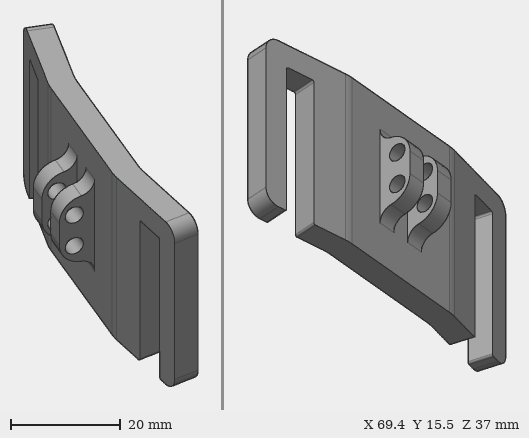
import cadquery as cq
import math

length = 69.4
height = 37.0
thickness = 5.2
bend_angle = math.radians(10)
bend_x = 14.9
bend_radius = 9.6
corner_radius = 3.0

slot_inner_x = 23.3
slot_outer_x = 29.8
slot_top_margin = 5.0
slot_corner_radius = 0.4

lug_inner_x = 2.0
lug_width = 3.95
lug_reach = 7.0
lug_center_z = 1.0
lug_tip_half = 2.5
lug_nose_radius = 5.0
lug_root_radius = 3.0
hole_diameter = 3.6
hole_spacing = 7.0
hole_reach = 4.0

half_length = length / 2
half_height = height / 2
wing_depth = thickness * math.cos(bend_angle)


def wing_point(front_x, depth):
    """XY point at a depth behind the right wing's front face, square to that face."""
    front_y = (front_x - bend_x) * math.tan(bend_angle)
    return (
        front_x - depth * math.sin(bend_angle),
        front_y + depth * math.cos(bend_angle),
    )


def mirrored(point):
    return (-point[0], point[1])


def make_plate():
    bend_start_x = bend_x - bend_radius * math.tan(bend_angle / 2)

    def bend_point(angle, offset_y):
        return (
            bend_start_x + bend_radius * math.sin(angle),
            offset_y + bend_radius * (1 - math.cos(angle)),
        )

    bend_angles = (0, bend_angle / 2, bend_angle)
    front_start, front_mid, front_end = [bend_point(a, 0) for a in bend_angles]
    back_start, back_mid, back_end = [bend_point(a, thickness) for a in bend_angles]
    tip_front = wing_point(half_length, 0)
    tip_back = wing_point(half_length, wing_depth)
    plate = (
        cq.Workplane("XY", origin=(0, 0, -half_height))
        .moveTo(*mirrored(front_start))
        .lineTo(*front_start)
        .threePointArc(front_mid, front_end)
        .lineTo(*tip_front)
        .lineTo(*tip_back)
        .lineTo(*back_end)
        .threePointArc(back_mid, back_start)
        .lineTo(*mirrored(back_start))
        .threePointArc(mirrored(back_mid), mirrored(back_end))
        .lineTo(*mirrored(tip_back))
        .lineTo(*mirrored(tip_front))
        .lineTo(*mirrored(front_end))
        .threePointArc(mirrored(front_mid), mirrored(front_start))
        .close()
        .extrude(height)
    )
    return plate.faces("<X or >X").edges("<Z or >Z").fillet(corner_radius)


def make_slot_cutter():
    """Cutter for the right slot, square to the wing and running out through the bottom."""
    overcut = 0.7
    slot_height = height - slot_top_margin + overcut
    return (
        cq.Workplane("XY", origin=(0, 0, -half_height - overcut))
        .polyline([
            wing_point(slot_inner_x, -overcut),
            wing_point(slot_outer_x, -overcut),
            wing_point(slot_outer_x, wing_depth + overcut),
            wing_point(slot_inner_x, wing_depth + overcut),
        ])
        .close()
        .extrude(slot_height)
    )


def through_edges(direction_x):
    """Selector for edges running square through a wing; direction_x is -1 right, 1 left."""
    return cq.selectors.ParallelDirSelector(
        cq.Vector(direction_x * math.sin(bend_angle), math.cos(bend_angle), 0)
    )


def cut_slots(plate):
    """Cut both slots and round their top corners and the corners at their open ends."""
    slot = make_slot_cutter()
    slot = slot.faces(">Z").edges(through_edges(-1)).fillet(slot_corner_radius)
    plate = plate.cut(slot).cut(slot.mirror("YZ"))
    for side in (-1, 1):
        mouth = cq.selectors.BoxSelector(
            (-side * bend_x, -thickness, -half_height - slot_corner_radius),
            (-side * (half_length - corner_radius), 2 * thickness, -half_height + slot_corner_radius),
        )
        plate = plate.edges(through_edges(side)).edges(mouth).fillet(slot_corner_radius)
    return plate


def make_lug(start_x):
    """Lug with a rounded nose that flares into the plate through tangent root arcs."""
    nose_y = lug_reach - lug_nose_radius
    center_distance = lug_nose_radius + lug_root_radius
    lean = math.asin((lug_root_radius - nose_y) / center_distance)
    root_z = lug_tip_half + center_distance * math.cos(lean)

    def nose_point(angle):
        return (
            -nose_y - lug_nose_radius * math.sin(angle),
            lug_tip_half + lug_nose_radius * math.cos(angle),
        )

    def root_point(angle):
        return (
            -lug_root_radius + lug_root_radius * math.sin(angle),
            root_z - lug_root_radius * math.cos(angle),
        )

    def lower(point):
        return (point[0], -point[1])

    root = root_point(math.pi / 2)
    root_mid = root_point((math.pi / 2 + lean) / 2)
    joint = nose_point(lean)
    nose_mid = nose_point((math.pi / 2 + lean) / 2)
    tip = nose_point(math.pi / 2)
    embed = thickness / 2
    return (
        cq.Workplane("YZ", origin=(start_x, 0, lug_center_z))
        .moveTo(embed, root_z)
        .lineTo(*root)
        .threePointArc(root_mid, joint)
        .threePointArc(nose_mid, tip)
        .lineTo(*lower(tip))
        .threePointArc(lower(nose_mid), lower(joint))
        .threePointArc(lower(root_mid), lower(root))
        .lineTo(embed, -root_z)
        .close()
        .extrude(lug_width)
    )


def make_pin_holes():
    return (
        cq.Workplane("YZ", origin=(0, 0, lug_center_z))
        .pushPoints([(-hole_reach, -hole_spacing / 2), (-hole_reach, hole_spacing / 2)])
        .circle(hole_diameter / 2)
        .extrude(half_length, both=True)
    )


result = cut_slots(make_plate())
for lug_start_x in (lug_inner_x, -lug_inner_x - lug_width):
    result = result.union(make_lug(lug_start_x))
result = result.cut(make_pin_holes())